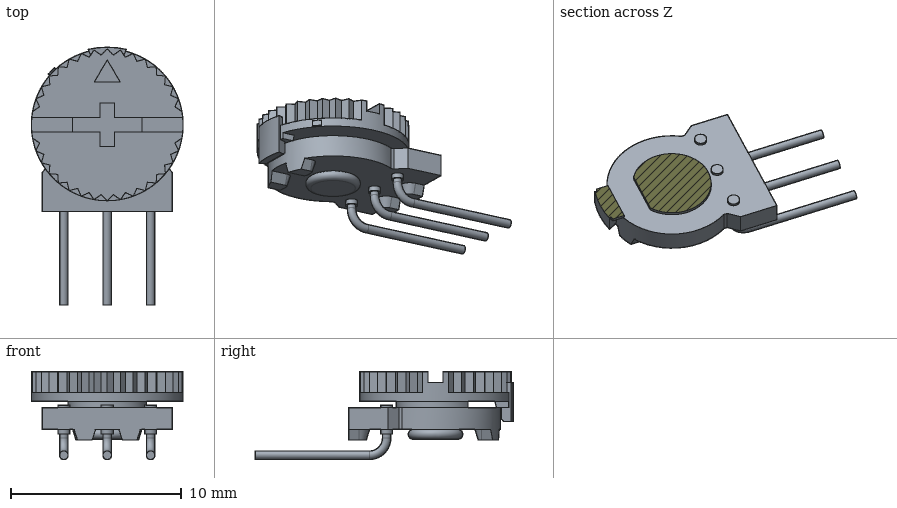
import cadquery as cq
import math


BODY_WIDTH = 7.62
BODY_THICKNESS = 1.27
BODY_RADIUS = BODY_WIDTH / 2
BODY_FRONT_Y = -5.08
SHOULDER_Y = -2.79
NECK_HALF_WIDTH = 3.27
NECK_Y = -2.145

PAD_HEIGHT = 0.635
PAD_DRAFT = 17.5
FRONT_PAD_X = 1.31
FRONT_PAD_RADIUS = 0.63
FRONT_PAD_ROUND_Y = -4.475
REAR_PAD_X = 1.39
REAR_PAD_WIDTH = 1.28
REAR_PAD_INNER_Y = 2.3
REAR_PAD_CORNER = 0.4
PAD_OVERRUN = 1.0

RIVET_RADIUS = 1.6
RIVET_HEIGHT = 0.59

LEAD_PITCH = 2.54
LEAD_Y = -2.86
LEAD_RADIUS = 0.254
LEAD_BEND_RADIUS = 1.016
LEAD_BEND_START_Z = -0.508
LEAD_END_Y = -10.55
COLLAR_RADIUS = 0.353
COLLAR_BOTTOM_Z = -0.28
COLLAR_TOP_Z = 1.42

HUB_RADIUS = 2.31
HUB_FLAT_Y = 1.905

WHEEL_RADIUS = 4.445
WHEEL_BOTTOM_Z = 1.63
WHEEL_TOP_Z = 3.38
FLANGE_TOP_Z = 2.14
TOOTH_PITCH = 10
NOTCH_ROOT_RADIUS = 4.1
NOTCHES_PER_SIDE = 16
RIM_CLEARANCE = 0.45
NOTCH_OUTER_RADIUS = WHEEL_RADIUS + RIM_CLEARANCE

SLOT_WIDTH = 0.864
SLOT_DEPTH = 0.64
CROSS_DEPTH = 0.864
CROSS_LENGTH_X = 4.04
CROSS_LENGTH_Y = 2.54
ARROW_TIP_Y = 3.8
ARROW_BASE_Y = 2.52
ARROW_HALF_WIDTH = 0.75
ARROW_DEPTH = 0.432

TAB_RADIUS = 4.55
TAB_BOTTOM_Z = 0.444
TAB_TOP_Z = 2.73
TAB_OUTER_HALF_WIDTH = 1.127
TAB_OUTER_EDGE_Y = 4.42
TAB_INNER_HALF_WIDTH = 0.865
TAB_INNER_Y = 3.86
TAB_CHAMFER = 0.14

LUG_HALF_WIDTH = 1.27
LUG_TOP_Y = 3.475
LUG_BOTTOM_Y = 3.555

MARKER_ANGLE = 136
MARKER_WIDTH = 0.53
MARKER_RADIUS = 4.55
MARKER_BOTTOM_Z = 1.67
MARKER_TOP_Z = 1.99
MARKER_EMBED = 0.4


def cylinder(radius, bottom_z, top_z):
    return cq.Workplane("XY").workplane(offset=bottom_z).circle(radius).extrude(top_z - bottom_z)


def polar(radius, degrees):
    angle = math.radians(degrees)
    return (radius * math.cos(angle), radius * math.sin(angle))


def make_body_outline():
    """Round back that narrows to a neck and widens to a square front."""
    half = BODY_WIDTH / 2
    neck_arc_y = -math.sqrt(BODY_RADIUS**2 - NECK_HALF_WIDTH**2)
    return (
        cq.Workplane("XY")
        .moveTo(-half, BODY_FRONT_Y)
        .lineTo(half, BODY_FRONT_Y)
        .lineTo(half, SHOULDER_Y)
        .lineTo(NECK_HALF_WIDTH, NECK_Y)
        .lineTo(NECK_HALF_WIDTH, neck_arc_y)
        .threePointArc((0, BODY_RADIUS), (-NECK_HALF_WIDTH, neck_arc_y))
        .lineTo(-NECK_HALF_WIDTH, NECK_Y)
        .lineTo(-half, SHOULDER_Y)
        .close()
    )


def make_pads():
    """Drafted pads whose outer ends follow the body outline."""
    front_length = FRONT_PAD_ROUND_Y - BODY_FRONT_Y + PAD_OVERRUN
    front_center_y = FRONT_PAD_ROUND_Y - front_length / 2
    front = (
        cq.Workplane("XY")
        .pushPoints([(-FRONT_PAD_X, front_center_y), (FRONT_PAD_X, front_center_y)])
        .slot2D(front_length + 2 * FRONT_PAD_RADIUS, 2 * FRONT_PAD_RADIUS, 90)
        .extrude(-PAD_HEIGHT, taper=PAD_DRAFT)
    )
    rear_length = BODY_RADIUS - REAR_PAD_INNER_Y + PAD_OVERRUN
    rear_center_y = REAR_PAD_INNER_Y + rear_length / 2
    rear_sketch = (
        cq.Sketch()
        .push([(-REAR_PAD_X, rear_center_y), (REAR_PAD_X, rear_center_y)])
        .rect(REAR_PAD_WIDTH, rear_length)
        .reset()
        .vertices()
        .fillet(REAR_PAD_CORNER)
    )
    rear = cq.Workplane("XY").placeSketch(rear_sketch).extrude(-PAD_HEIGHT, taper=PAD_DRAFT)
    return front.union(rear).intersect(make_body_outline().extrude(-PAD_HEIGHT))


def make_rivet():
    """Disc with a half-round edge."""
    rounding = RIVET_HEIGHT / 2
    return (
        cq.Workplane("XZ")
        .lineTo(RIVET_RADIUS - rounding, 0)
        .threePointArc((RIVET_RADIUS, -rounding), (RIVET_RADIUS - rounding, -RIVET_HEIGHT))
        .lineTo(0, -RIVET_HEIGHT)
        .close()
        .revolve(360, (0, 0, 0), (0, 1, 0))
    )


def make_lead(x):
    """Collared pin that drops out of the body and bends forward."""
    bend_end_y = LEAD_Y - LEAD_BEND_RADIUS
    bend_end_z = LEAD_BEND_START_Z - LEAD_BEND_RADIUS
    pin = cylinder(LEAD_RADIUS, LEAD_BEND_START_Z, 0).translate((x, LEAD_Y, 0))
    bend = (
        cq.Workplane("XY")
        .workplane(offset=LEAD_BEND_START_Z)
        .center(x, LEAD_Y)
        .circle(LEAD_RADIUS)
        .revolve(90, (0, -LEAD_BEND_RADIUS, 0), (-1, -LEAD_BEND_RADIUS, 0))
    )
    tail = (
        cq.Workplane("XZ", origin=(x, bend_end_y, bend_end_z))
        .circle(LEAD_RADIUS)
        .extrude(bend_end_y - LEAD_END_Y)
    )
    collar = cylinder(COLLAR_RADIUS, COLLAR_BOTTOM_Z, COLLAR_TOP_Z).translate((x, LEAD_Y, 0))
    return collar.union(pin).union(bend).union(tail)


def make_hub():
    """Round hub with a flat on its rear side."""
    hub = cylinder(HUB_RADIUS, BODY_THICKNESS, WHEEL_BOTTOM_Z)
    keep = cq.Workplane("XY").box(
        2 * HUB_RADIUS, HUB_RADIUS + HUB_FLAT_Y, WHEEL_TOP_Z, centered=(True, False, False)
    )
    return hub.intersect(keep.translate((0, -HUB_RADIUS, 0)))


def cut_notches(wheel):
    """V notches front and rear, leaving the rim smooth at both slot ends."""
    notches = cq.Workplane("XY").workplane(offset=FLANGE_TOP_Z)
    for side_angle in (0, 180):
        for index in range(NOTCHES_PER_SIDE):
            start = side_angle + TOOTH_PITCH * (index + 1)
            root = polar(NOTCH_ROOT_RADIUS, start + TOOTH_PITCH / 2)
            outer = polar(NOTCH_OUTER_RADIUS, start + TOOTH_PITCH / 2)
            first_tip = polar(WHEEL_RADIUS, start)
            last_tip = polar(WHEEL_RADIUS, start + TOOTH_PITCH)
            notches = notches.polyline([root, first_tip, outer, last_tip]).close()
    return wheel.cut(notches.extrude(WHEEL_TOP_Z - FLANGE_TOP_Z))


def cut_top_recesses(wheel):
    top = cq.Workplane("XY").workplane(offset=WHEEL_TOP_Z)
    slot = top.rect(2 * (WHEEL_RADIUS + RIM_CLEARANCE), SLOT_WIDTH).extrude(-SLOT_DEPTH)
    cross_x = top.rect(CROSS_LENGTH_X, SLOT_WIDTH).extrude(-CROSS_DEPTH)
    cross_y = top.rect(SLOT_WIDTH, CROSS_LENGTH_Y).extrude(-CROSS_DEPTH)
    arrow = (
        top.moveTo(0, ARROW_TIP_Y)
        .lineTo(ARROW_HALF_WIDTH, ARROW_BASE_Y)
        .lineTo(-ARROW_HALF_WIDTH, ARROW_BASE_Y)
        .close()
        .extrude(-ARROW_DEPTH)
    )
    return wheel.cut(slot).cut(cross_x).cut(cross_y).cut(arrow)


def make_tab():
    """Upright plate on the rear rim, reaching down behind the body."""
    tab = (
        cq.Workplane("XY")
        .workplane(offset=TAB_BOTTOM_Z)
        .moveTo(-TAB_INNER_HALF_WIDTH, TAB_INNER_Y)
        .lineTo(TAB_INNER_HALF_WIDTH, TAB_INNER_Y)
        .lineTo(TAB_OUTER_HALF_WIDTH, TAB_OUTER_EDGE_Y)
        .threePointArc((0, TAB_RADIUS), (-TAB_OUTER_HALF_WIDTH, TAB_OUTER_EDGE_Y))
        .close()
        .extrude(TAB_TOP_Z - TAB_BOTTOM_Z)
    )
    return tab.faces("<Z").edges("<Y").chamfer(TAB_CHAMFER)


def make_lug():
    """Block under the wheel, sloped on the inside and round on the outside."""
    block = (
        cq.Workplane("YZ")
        .moveTo(LUG_BOTTOM_Y, BODY_THICKNESS)
        .lineTo(WHEEL_RADIUS, BODY_THICKNESS)
        .lineTo(WHEEL_RADIUS, WHEEL_BOTTOM_Z)
        .lineTo(LUG_TOP_Y, WHEEL_BOTTOM_Z)
        .close()
        .extrude(LUG_HALF_WIDTH, both=True)
    )
    return block.intersect(cylinder(WHEEL_RADIUS, BODY_THICKNESS, WHEEL_BOTTOM_Z))


def make_marker():
    length = MARKER_EMBED + MARKER_RADIUS - WHEEL_RADIUS
    return (
        cq.Workplane("XY")
        .box(length, MARKER_WIDTH, MARKER_TOP_Z - MARKER_BOTTOM_Z, centered=(False, True, False))
        .translate((MARKER_RADIUS - length, 0, MARKER_BOTTOM_Z))
        .rotate((0, 0, 0), (0, 0, 1), MARKER_ANGLE)
    )


wheel = cylinder(WHEEL_RADIUS, WHEEL_BOTTOM_Z, WHEEL_TOP_Z)
wheel = cut_notches(wheel)
wheel = cut_top_recesses(wheel)
wheel = wheel.union(make_tab()).union(make_lug()).union(make_marker())

body = make_body_outline().extrude(BODY_THICKNESS).union(make_pads()).union(make_rivet())
for position in (-1, 0, 1):
    body = body.union(make_lead(position * LEAD_PITCH))

result = body.union(make_hub()).union(wheel)